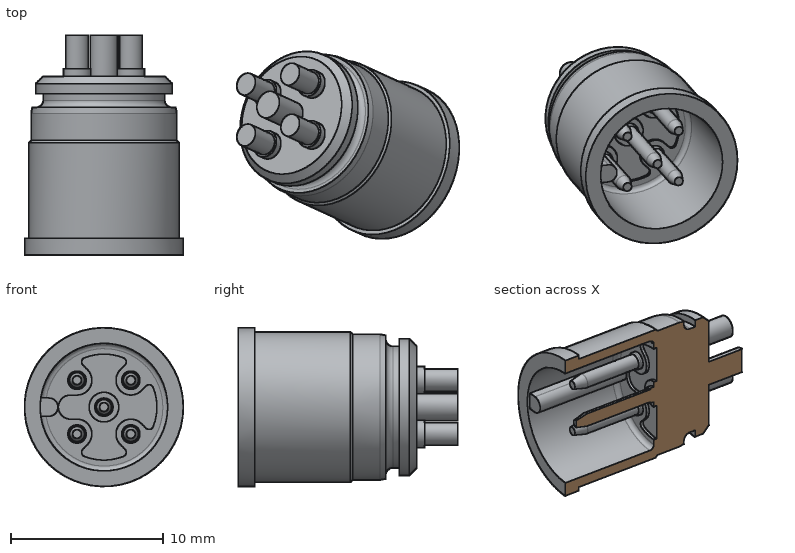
import cadquery as cq
import math

TOTAL_LENGTH = 14.45

FLANGE_DIA = 10.45
BODY_DIA = 9.9
SHOULDER_DIA = 9.6
SHOULDER_END_DIA = 9.45
GROOVE_DIA = 8.0
END_DISC_DIA = 9.0
FLANGE_END = 1.11
BODY_END = 7.38
SHOULDER_START = 7.53
SHOULDER_TAPER_START = 9.3
SHOULDER_END = 9.71
FLARE_RADIUS = 0.46
DISC_START = 10.59
DISC_CHAMFER_START = 11.25
DISC_END = 11.75
DISC_END_DIA = GROOVE_DIA

BORE_DIA = 8.38
FLOOR_Y = 7.22
FLOOR_FILLET = 0.33

KEY_WIDTH = 1.2
KEY_TIP_RADIUS = 3.02
KEY_FRONT_Y = 0.19

PIN_CIRCLE_RADIUS = 2.5
PIN_OFFSET = PIN_CIRCLE_RADIUS / math.sqrt(2)
CONTACT_DIA = 1.0
CONTACT_TIP_DIA = 0.58
CONTACT_TAPER = 0.87
CENTRE_TIP_Y = 0.9
CENTRE_PIN_LEAD = 1.0
OUTER_TIP_Y = CENTRE_TIP_Y + CENTRE_PIN_LEAD
COLLAR_DIA = 1.2
COLLAR_HEIGHT = 0.29
COLLAR_ROUND = (COLLAR_DIA - CONTACT_DIA) / 2

RECESS_DEPTH = 0.22
RECESS_RADIUS = 3.48
RECESS_CORNER = 0.29
ISLAND_DIA = 1.95
CHANNEL_WIDTH = 2 * PIN_OFFSET - ISLAND_DIA
CHANNEL_TIP_RADIUS = 2.99

OUTER_SOLDER_DIA = 1.5
CENTRE_SOLDER_DIA = 1.8
SOLDER_COLLAR_DIA = 1.8
SOLDER_COLLAR_END = 12.25

OUTER_PINS = [(sx * PIN_OFFSET, sz * PIN_OFFSET) for sx in (-1, 1) for sz in (-1, 1)]


def across(y):
    """Sketch plane across the axis at y: local x is X, local y is Z, extrusion goes toward -Y."""
    return cq.Workplane("XZ", origin=(0, y, 0))


def rod(x, z, diameter, start, end):
    """Cylinder along Y between two stations."""
    return across(end).center(x, z).circle(diameter / 2).extrude(end - start)


def make_shell():
    groove_radius = GROOVE_DIA / 2
    bend = FLARE_RADIUS * (1 - math.sqrt(0.5))
    return (
        cq.Workplane("XY")
        .moveTo(0, 0)
        .lineTo(FLANGE_DIA / 2, 0)
        .lineTo(FLANGE_DIA / 2, FLANGE_END)
        .lineTo(BODY_DIA / 2, FLANGE_END)
        .lineTo(BODY_DIA / 2, BODY_END)
        .lineTo(SHOULDER_DIA / 2, SHOULDER_START)
        .lineTo(SHOULDER_DIA / 2, SHOULDER_TAPER_START)
        .lineTo(SHOULDER_END_DIA / 2, SHOULDER_END)
        .lineTo(groove_radius + FLARE_RADIUS, SHOULDER_END)
        .threePointArc(
            (groove_radius + bend, SHOULDER_END + bend),
            (groove_radius, SHOULDER_END + FLARE_RADIUS),
        )
        .lineTo(groove_radius, DISC_START)
        .lineTo(END_DISC_DIA / 2, DISC_START)
        .lineTo(END_DISC_DIA / 2, DISC_CHAMFER_START)
        .lineTo(DISC_END_DIA / 2, DISC_END)
        .lineTo(0, DISC_END)
        .close()
        .revolve(360, (0, 0, 0), (0, 1, 0))
    )


def make_bore():
    return rod(0, 0, BORE_DIA, 0, FLOOR_Y).faces(">Y").edges().fillet(FLOOR_FILLET)


def make_recess():
    start = FLOOR_Y
    end = FLOOR_Y + RECESS_DEPTH
    recess = rod(0, 0, 2 * RECESS_RADIUS, start, end)

    for x, z in OUTER_PINS:
        bar = (
            across(end)
            .transformed(rotate=(0, 0, math.degrees(math.atan2(z, x))))
            .center(PIN_CIRCLE_RADIUS + RECESS_RADIUS / 2, 0)
            .rect(RECESS_RADIUS, ISLAND_DIA)
            .extrude(RECESS_DEPTH)
        )
        recess = recess.cut(bar).cut(rod(x, z, ISLAND_DIA, start, end))

    arm = across(end).center(-PIN_OFFSET - RECESS_RADIUS / 2, 0)
    recess = recess.cut(arm.rect(RECESS_RADIUS, 2 * RECESS_RADIUS).extrude(RECESS_DEPTH))

    corner_zone = RECESS_RADIUS - 2 * RECESS_CORNER
    central_box = cq.selectors.BoxSelector(
        (-corner_zone, start, -corner_zone), (corner_zone, end, corner_zone)
    )
    recess = recess.edges("|Y").edges(cq.selectors.InverseSelector(central_box)).fillet(RECESS_CORNER)

    channel = (
        across(end)
        .center(-CHANNEL_TIP_RADIUS / 2, 0)
        .slot2D(CHANNEL_TIP_RADIUS, CHANNEL_WIDTH)
        .extrude(RECESS_DEPTH)
    )
    return recess.union(channel).cut(rod(0, 0, ISLAND_DIA, start, end))


def make_key():
    length = BORE_DIA / 2 - KEY_TIP_RADIUS + KEY_WIDTH / 2
    return (
        across(FLOOR_Y)
        .center(-KEY_TIP_RADIUS - length / 2, 0)
        .slot2D(length, KEY_WIDTH)
        .extrude(FLOOR_Y - KEY_FRONT_Y)
    )


def make_contact(x, z, tip_y):
    taper_end = tip_y + CONTACT_TAPER
    base = FLOOR_Y + RECESS_DEPTH
    shaft = rod(x, z, CONTACT_DIA, taper_end, base)
    tip = (
        across(taper_end)
        .center(x, z)
        .circle(CONTACT_DIA / 2)
        .workplane(offset=CONTACT_TAPER)
        .circle(CONTACT_TIP_DIA / 2)
        .loft()
    )
    collar = rod(x, z, COLLAR_DIA, FLOOR_Y - COLLAR_HEIGHT, base)
    collar = collar.faces("<Y").edges().fillet(COLLAR_ROUND)
    return shaft.union(tip).union(collar)


result = make_shell().cut(make_bore()).cut(make_recess())
result = result.union(make_key())
result = result.union(make_contact(0, 0, CENTRE_TIP_Y))
result = result.union(rod(0, 0, CENTRE_SOLDER_DIA, DISC_END, TOTAL_LENGTH))
for x, z in OUTER_PINS:
    result = result.union(make_contact(x, z, OUTER_TIP_Y))
    result = result.union(rod(x, z, SOLDER_COLLAR_DIA, DISC_END, SOLDER_COLLAR_END))
    result = result.union(rod(x, z, OUTER_SOLDER_DIA, SOLDER_COLLAR_END, TOTAL_LENGTH))